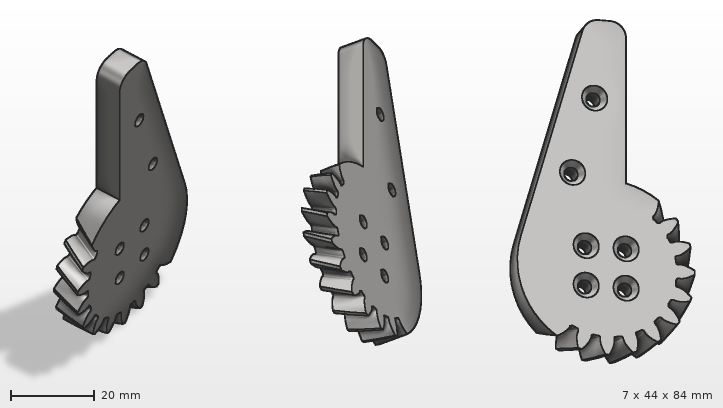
import cadquery as cq
import math

thickness = 7.0
half_width_at_arm_end = 4.95
arm_end_height = 62.0
arm_corner_radius = 4.0

tooth_count = 20
tip_radius = 22.0
module = 2 * tip_radius / (tooth_count + 2)
pitch_radius = module * tooth_count / 2
dedendum_ratio = 1.25
root_radius = pitch_radius - dedendum_ratio * module
helix_angle = math.radians(28)
normal_pressure_angle = math.radians(20)
pressure_angle = math.atan(math.tan(normal_pressure_angle) / math.cos(helix_angle))
base_radius = pitch_radius * math.cos(pressure_angle)
tooth_pitch = 360 / tooth_count
gap_count = 10
extra_gap_angle = math.radians(0.6)
first_gap_angle = 134.1
twist = math.degrees(thickness * math.tan(helix_angle) / pitch_radius)
root_fillet_radius = 0.6
tip_clearance = 0.4
gap_outer_radius = tip_radius + tip_clearance

bore_diameter = 3.4
countersink_diameter = 6.3
countersink_angle = 90
hub_hole_offset = 4.95
arm_holes = [(2.85, 42.25), (8.3, 23.1)]


def polar(radius, angle):
    return radius * math.cos(angle), radius * math.sin(angle)


def mirrored(point):
    return point[0], -point[1]


def involute(angle):
    """Polar angle swept by the involute at the given pressure angle."""
    return math.tan(angle) - angle


def gap_half_angle(radius):
    """Half the angle of a tooth gap at a radius; flanks are radial below the base circle."""
    local_pressure_angle = math.acos(min(1, base_radius / radius))
    half_at_pitch = math.pi / (2 * tooth_count) + extra_gap_angle / 2
    return half_at_pitch - involute(pressure_angle) + involute(local_pressure_angle)


def make_plate():
    corner_distance = math.hypot(half_width_at_arm_end, arm_end_height)
    corner_angle = math.atan2(arm_end_height, half_width_at_arm_end)
    tangent_angle = corner_angle - math.acos(tip_radius / corner_distance)
    tangent_point = polar(tip_radius, tangent_angle)
    arm = (
        cq.Workplane("YZ")
        .moveTo(-half_width_at_arm_end, 0)
        .lineTo(-half_width_at_arm_end, arm_end_height)
        .lineTo(half_width_at_arm_end, arm_end_height)
        .lineTo(*tangent_point)
        .lineTo(0, 0)
        .close()
        .extrude(thickness)
        .edges("|X and >Z")
        .fillet(arm_corner_radius)
    )
    return cq.Workplane("YZ").circle(tip_radius).extrude(thickness).union(arm)


def make_gap_cutter():
    """One twisted tooth gap, centred on +Y at X = 0."""
    flank_steps = 6
    step = (gap_outer_radius - base_radius) / flank_steps
    radii = [base_radius + step * index for index in range(flank_steps + 1)]
    upper_flank = [polar(r, gap_half_angle(r)) for r in radii]
    lower_flank = [mirrored(point) for point in reversed(upper_flank)]
    root_half_angle = gap_half_angle(root_radius)
    fillet_center_radius = root_radius + root_fillet_radius
    fillet_center_angle = root_half_angle - root_fillet_radius / fillet_center_radius
    center_y, center_z = polar(fillet_center_radius, fillet_center_angle)
    middle_y, middle_z = polar(root_fillet_radius, fillet_center_angle + 3 * math.pi / 4)
    fillet_start = polar(root_radius, fillet_center_angle)
    fillet_middle = (center_y + middle_y, center_z + middle_z)
    fillet_end = polar(fillet_center_radius, root_half_angle)
    return (
        cq.Workplane("YZ")
        .moveTo(*mirrored(fillet_start))
        .threePointArc((root_radius, 0), fillet_start)
        .threePointArc(fillet_middle, fillet_end)
        .lineTo(*upper_flank[0])
        .spline(upper_flank[1:], includeCurrent=True)
        .lineTo(*lower_flank[0])
        .spline(lower_flank[1:], includeCurrent=True)
        .lineTo(*mirrored(fillet_end))
        .threePointArc(mirrored(fillet_middle), mirrored(fillet_start))
        .close()
        .twistExtrude(thickness, twist)
    )


def cut_teeth(body):
    gap = make_gap_cutter()
    for index in range(gap_count):
        angle = first_gap_angle + index * tooth_pitch
        body = body.cut(gap.rotate((0, 0, 0), (1, 0, 0), angle))
    return body


def cut_screw_holes(body):
    offsets = (-hub_hole_offset, hub_hole_offset)
    hub_holes = [(y, z) for y in offsets for z in offsets]
    points = [(-y, z) for y, z in hub_holes + arm_holes]
    face_plane = cq.Plane(origin=(0, 0, 0), xDir=(0, -1, 0), normal=(-1, 0, 0))
    return (
        body.copyWorkplane(cq.Workplane(face_plane))
        .pushPoints(points)
        .cskHole(bore_diameter, countersink_diameter, countersink_angle)
    )


result = cut_screw_holes(cut_teeth(make_plate()))